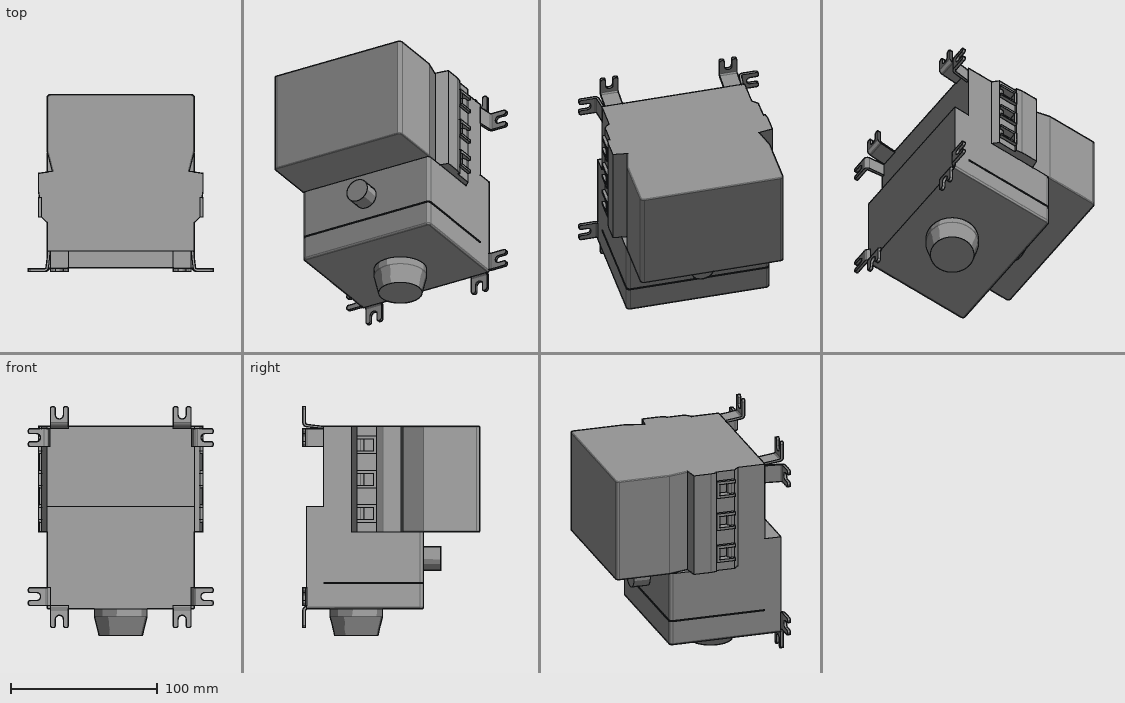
import cadquery as cq
import math

height = 155.8
width = 126.0
depth = 120.5

body_half_width = 50.2
body_bottom = 18.0
body_front = 2.5
body_back = 82.3
corner_radius = 2.3
bottom_edge_radius = 1.2

step_z = 87.9
upper_front = 14.0

head_bottom = 70.4
head_top = 142.4
head_edge_radius = 0.6
neck_half_width = 46.6
neck_y = 68.2
wing_half_width = 56.1
wing_back = 66.8
wing_taper_start = 54.5
wing_taper_inset = 0.8
wing_front = 37.1
recess_depth = 2.2
recess_half_width = wing_half_width - recess_depth
recess_back = 50.3
chamfer_front = wing_front - (recess_half_width - body_half_width)

frame_count = 3
frame_pitch = 23.4
frame_height = 12.0
window_height = 8.1
window_back = 48.3
pocket_front = 41.8
pocket_depth = 3.1
lip_radius = 2.5
frame_mid_z = (head_bottom + head_top) / 2
window_mid_z = frame_mid_z - 0.2

groove_z = 35.7
groove_width = 0.6
groove_depth = 0.3
groove_front = 14.3

gland_y = 36.5
gland_radius = 17.9
gland_tip_radius = 14.8
gland_cone_height = 12.8
button_radius = 8.1
button_z = 52.3
button_end = 94.0

bracket_width = 12.3
bracket_thickness = 2.0
bracket_reach = 15.1
arm_lean = 1.5
arm_thickness = 1.5
slot_width = 5.3
slot_length = 8.4
tip_radius = 1.5
long_bend_radii = (1.0, 3.0)
short_bend_radii = (0.5, 1.9)
knee_inset = 12.8
knee_angle = 45.0
embed = 0.8
side_tip_x = width / 2
bottom_tip_z = 5.3
side_upper_z = 134.6
side_lower_z = 26.5
end_bracket_x = 41.8


def box(x_range, y_range, z_range):
    size = [high - low for low, high in (x_range, y_range, z_range)]
    return cq.Workplane("XY").box(*size, centered=False).translate((x_range[0], y_range[0], z_range[0]))


def both_sides(solid):
    return solid.union(solid.mirror("YZ"))


def make_lower_housing():
    width_range = (-body_half_width, body_half_width)
    housing = box(width_range, (body_front, body_back), (body_bottom, head_bottom))
    housing = housing.edges("|Z and >Y").fillet(corner_radius)
    bottom_edges = housing.faces("<Z").edges("not <Y")
    housing = bottom_edges.fillet(bottom_edge_radius)
    step = box(width_range, (body_front, body_back / 2), (head_bottom, step_z))
    return housing.union(step)


def make_cover():
    """Rear part of the head, with softened upper and lower rims."""
    cover = (
        cq.Workplane("XY")
        .workplane(offset=head_bottom)
        .moveTo(-neck_half_width, neck_y)
        .lineTo(-body_half_width, body_back)
        .lineTo(-body_half_width, depth)
        .lineTo(body_half_width, depth)
        .lineTo(body_half_width, body_back)
        .lineTo(neck_half_width, neck_y)
        .close()
        .extrude(head_top - head_bottom)
    )
    cover = cover.edges("|Z and >Y").fillet(corner_radius)
    return cover.faces("<Z or >Z").edges("not <Y").fillet(head_edge_radius)


def make_head():
    right_side = [
        (body_half_width, upper_front),
        (body_half_width, chamfer_front),
        (recess_half_width, wing_front),
        (recess_half_width, recess_back),
        (wing_half_width - wing_taper_inset, recess_back),
        (wing_half_width, wing_taper_start),
        (wing_half_width, wing_back),
        (neck_half_width, neck_y),
    ]
    left_side = [(-x, y) for x, y in reversed(right_side)]
    base = cq.Workplane("XY").workplane(offset=head_bottom)
    base = base.polyline(right_side + left_side).close().extrude(head_top - head_bottom)
    return base.union(make_cover())


def make_frame(mid_z):
    return box(
        (body_half_width, wing_half_width),
        (wing_front, recess_back),
        (mid_z - frame_height / 2, mid_z + frame_height / 2),
    )


def make_window(mid_z):
    """Opening through the frame, with a pocket behind it that ends in a rounded lip."""
    floor_x = recess_half_width - pocket_depth
    lip_end = pocket_front - lip_radius
    lip_sag = lip_radius * (1 - math.sqrt(0.5))
    return (
        cq.Workplane("XY")
        .workplane(offset=mid_z - window_height / 2)
        .moveTo(wing_half_width, wing_front)
        .lineTo(recess_half_width, wing_front)
        .lineTo(recess_half_width, lip_end)
        .threePointArc(
            (recess_half_width - lip_sag, pocket_front - lip_sag),
            (recess_half_width - lip_radius, pocket_front),
        )
        .lineTo(floor_x, pocket_front)
        .lineTo(floor_x, window_back)
        .lineTo(wing_half_width, window_back)
        .close()
        .extrude(window_height)
    )


def make_groove():
    """Shallow groove running around the sides and back of the lower housing."""
    z_range = (groove_z - groove_width / 2, groove_z + groove_width / 2)
    outer = box((-wing_half_width, wing_half_width), (groove_front, depth), z_range)
    inner_half = body_half_width - groove_depth
    inner = box((-inner_half, inner_half), (groove_front, body_back - groove_depth), z_range)
    return outer.cut(inner.edges("|Z and >Y").fillet(corner_radius))


def make_gland():
    collar_top = body_bottom + bottom_edge_radius
    profile = [
        (0, 0),
        (gland_tip_radius, 0),
        (gland_radius, gland_cone_height),
        (gland_radius, collar_top),
        (0, collar_top),
    ]
    gland = cq.Workplane("XZ").polyline(profile).close().revolve(360, (0, 0, 0), (0, 1, 0))
    return gland.translate((0, gland_y, 0))


def make_button():
    button = cq.Workplane("XZ").circle(button_radius).extrude(-(button_end - body_back + corner_radius))
    return button.translate((0, body_back - corner_radius, button_z))


def finish_bracket(outline, bends, bend_radii):
    """Extrude a bent strip whose tip is at X = 0, round its bends and tip, and cut the slot."""
    strip = cq.Workplane("XY").polyline(outline).close().extrude(bracket_width / 2, both=True)
    for bend, radius in zip(bends, bend_radii):
        strip = strip.edges(cq.NearestToPointSelector((*bend, 0))).fillet(radius)
    slot = cq.Workplane("XZ").slot2D(2 * slot_length, slot_width).extrude(-bracket_thickness)
    return strip.cut(slot).edges("|Y and >X").fillet(tip_radius)


def make_long_bracket():
    """Bracket whose arm reaches back to the upper front face, leaning slightly."""
    arm_end = upper_front + embed
    outer_bend = (-bracket_reach + arm_lean, 0)
    inner_bend = (outer_bend[0] + arm_thickness, bracket_thickness)
    outline = [
        (0, 0),
        outer_bend,
        (-bracket_reach, arm_end),
        (-bracket_reach + arm_thickness, arm_end),
        inner_bend,
        (0, bracket_thickness),
    ]
    return finish_bracket(outline, (inner_bend, outer_bend), long_bend_radii)


def make_short_bracket():
    """Bracket whose arm slants into the lower front face."""
    arm_end = body_front + embed
    knee_shift = bracket_thickness * math.tan(math.radians(knee_angle / 2))
    outer_bend = (-knee_inset, 0)
    inner_bend = (-knee_inset + knee_shift, bracket_thickness)
    run_per_depth = 1 / math.tan(math.radians(knee_angle))
    arm_end_inner = inner_bend[0] - (arm_end - bracket_thickness) * run_per_depth
    outline = [
        (0, 0),
        outer_bend,
        (-knee_inset - arm_end * run_per_depth, arm_end),
        (arm_end_inner, arm_end),
        inner_bend,
        (0, bracket_thickness),
    ]
    return finish_bracket(outline, (inner_bend, outer_bend), short_bend_radii)


def make_brackets():
    long_bracket = make_long_bracket()
    short_bracket = make_short_bracket()
    y_axis = ((0, 0, 0), (0, 1, 0))
    right_hand = [
        long_bracket.translate((side_tip_x, 0, side_upper_z)),
        short_bracket.translate((side_tip_x, 0, side_lower_z)),
        long_bracket.rotate(*y_axis, -90).translate((end_bracket_x, 0, height)),
        short_bracket.rotate(*y_axis, 90).translate((end_bracket_x, 0, bottom_tip_z)),
    ]
    return [both_sides(bracket) for bracket in right_hand]


result = make_lower_housing().union(make_head())
for index in range(frame_count):
    offset_z = (index - (frame_count - 1) / 2) * frame_pitch
    result = result.union(both_sides(make_frame(frame_mid_z + offset_z)))
    result = result.cut(both_sides(make_window(window_mid_z + offset_z)))
result = result.cut(make_groove())
result = result.union(make_gland()).union(make_button())
for bracket_pair in make_brackets():
    result = result.union(bracket_pair)